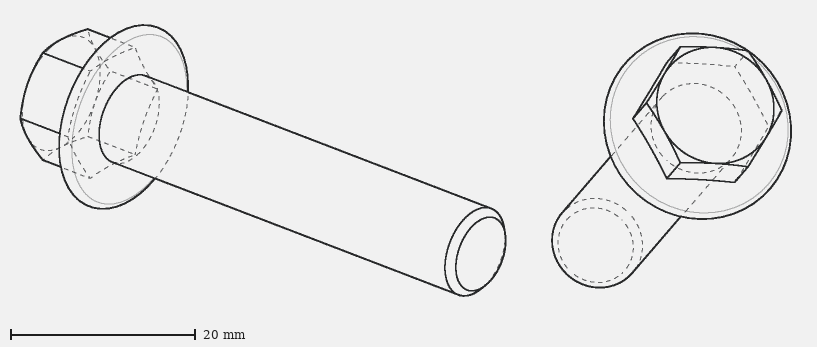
import cadquery as cq
import math

total_length = 59.7
head_length = 9.7
shank_diameter = 10.0
shank_chamfer = 0.85

across_flats = 13.0
across_corners = across_flats / math.cos(math.pi / 6)
crown_angle = 30.0

flange_diameter = 20.8
rim_radius = 0.8
cone_angle = 20.0


def revolve_about_x(profile):
    return profile.close().revolve(360, (0, 0, 0), (1, 0, 0))


def make_hexagon():
    """Hexagonal prism with flats at top and bottom and chamfered corners."""
    prism = cq.Workplane("YZ").polygon(6, across_corners).extrude(head_length)
    face_radius = across_flats / 2
    corner_radius = across_corners / 2
    crown_depth = (corner_radius - face_radius) * math.tan(math.radians(crown_angle))
    crown = revolve_about_x(
        cq.Workplane("XY")
        .lineTo(0, face_radius)
        .lineTo(crown_depth, corner_radius)
        .lineTo(head_length, corner_radius)
        .lineTo(head_length, 0)
    )
    return prism.intersect(crown)


def make_flange():
    """Conical flange whose rim arc is tangent to the cone and the bearing face."""
    slope = math.radians(cone_angle)
    rim_x = head_length - rim_radius
    rim_y = flange_diameter / 2 - rim_radius
    tangent_x = rim_x - rim_radius * math.cos(slope)
    tangent_y = rim_y + rim_radius * math.sin(slope)
    inner_radius = shank_diameter / 2
    inner_x = tangent_x - (tangent_y - inner_radius) * math.tan(slope)
    return revolve_about_x(
        cq.Workplane("XY")
        .moveTo(inner_x, 0)
        .lineTo(inner_x, inner_radius)
        .lineTo(tangent_x, tangent_y)
        .threePointArc((rim_x, rim_y + rim_radius), (head_length, rim_y))
        .lineTo(head_length, 0)
    )


def make_shank():
    """Plain cylindrical shank with a chamfered tip."""
    shank_length = total_length - head_length
    shank = cq.Workplane("YZ", origin=(head_length, 0, 0)).circle(shank_diameter / 2).extrude(shank_length)
    return shank.faces(">X").chamfer(shank_chamfer)


result = make_hexagon().union(make_flange()).union(make_shank())